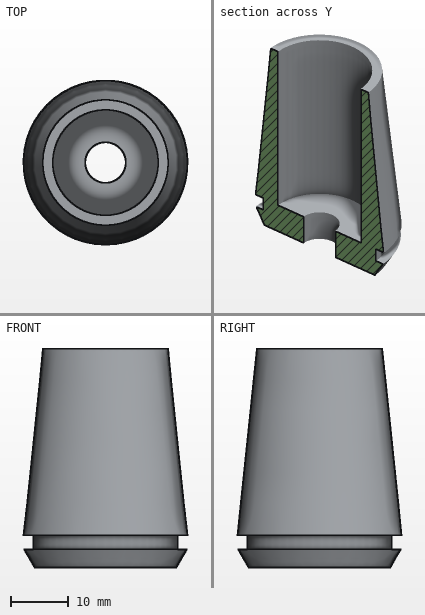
import cadquery as cq
import math

total_height = 38.0
body_base_diameter = 28.5
body_top_diameter = 21.75

foot_height = 3.2
foot_diameter = 28.25
foot_side_angle = 30.0
groove_height = 2.4
groove_diameter = 25.1

bore_diameter = 18.3
floor_thickness = 5.6
floor_hole_diameter = 7.0


def make_outer_body():
    """Revolve the outer outline: foot, groove and straight tapered body."""
    foot_top_radius = foot_diameter / 2
    foot_base_radius = foot_top_radius - foot_height * math.tan(math.radians(foot_side_angle))
    groove_radius = groove_diameter / 2
    body_base_radius = body_base_diameter / 2
    body_top_radius = body_top_diameter / 2
    body_base_z = foot_height + groove_height
    seam_plane = cq.Plane(origin=(0, 0, 0), xDir=(0, -1, 0), normal=(-1, 0, 0))
    outline = (
        cq.Workplane(seam_plane)
        .moveTo(0, 0)
        .lineTo(foot_base_radius, 0)
        .lineTo(foot_top_radius, foot_height)
        .lineTo(groove_radius, foot_height)
        .lineTo(groove_radius, body_base_z)
        .lineTo(body_base_radius, body_base_z)
        .lineTo(body_top_radius, total_height)
        .lineTo(0, total_height)
        .close()
    )
    return outline.revolve(360, (0, 0, 0), (0, 1, 0))


def make_bore():
    """Flat-bottomed bore, open at the top."""
    return (
        cq.Workplane("XY", origin=(0, 0, floor_thickness))
        .circle(bore_diameter / 2)
        .extrude(total_height - floor_thickness)
    )


def make_floor_hole():
    """Through hole in the middle of the floor."""
    return cq.Workplane("XY").circle(floor_hole_diameter / 2).extrude(floor_thickness)


result = make_outer_body().cut(make_bore()).cut(make_floor_hole())